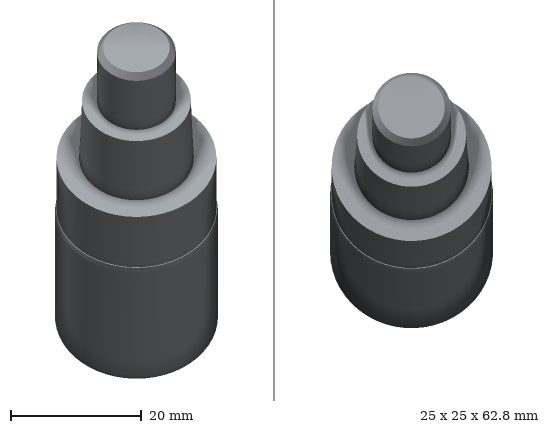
import cadquery as cq

housing_radius = 12.5
housing_height = 26.0
base_fillet = 1.1
rim_taper_height = 0.9
rim_radius = 12.35

collar_radius = 12.25
collar_top = 37.5
cone_base_radius = 8.8
cone_top_radius = 8.35
cone_top = 50.6
pin_radius = 6.0
pin_chamfer = 0.95
total_height = 62.75


def make_housing():
    """Round base with a rounded bottom edge and a slightly tapered rim."""
    body = (
        cq.Workplane("XZ")
        .lineTo(housing_radius, 0)
        .lineTo(housing_radius, housing_height - rim_taper_height)
        .lineTo(rim_radius, housing_height)
        .lineTo(0, housing_height)
        .close()
        .revolve(360, (0, 0), (0, 1))
    )
    return body.faces("<Z").edges().fillet(base_fillet)


def make_plunger():
    """Collar, tapered neck and chamfered pin turned as one piece."""
    profile = [
        (0, housing_height),
        (collar_radius, housing_height),
        (collar_radius, collar_top),
        (cone_base_radius, collar_top),
        (cone_top_radius, cone_top),
        (pin_radius, cone_top),
        (pin_radius, total_height),
        (0, total_height),
    ]
    body = cq.Workplane("XZ").polyline(profile).close().revolve(360, (0, 0), (0, 1))
    return body.faces(">Z").edges().chamfer(pin_chamfer)


housing = make_housing()
plunger = make_plunger()
result = cq.Compound.makeCompound([housing.val(), plunger.val()])